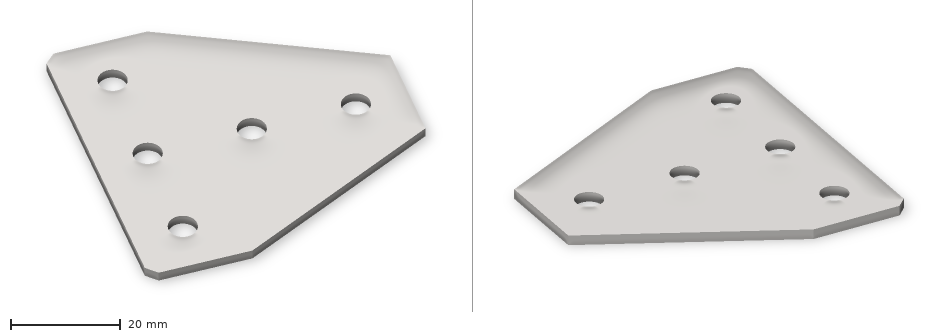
import cadquery as cq

pitch = 20.0
thickness = 2.0
hole_diameter = 5.5
corner_chamfer = 2.0

size = 3 * pitch
half_size = size / 2
half_arm = pitch / 2
shoulder_y = -half_size + pitch
bottom_row_y = -half_size + half_arm


def make_plate():
    """T-joint plate: straight crossbar, tapering to a narrow top edge."""
    right_side = [
        (half_size - corner_chamfer, -half_size),
        (half_size, -half_size + corner_chamfer),
        (half_size, shoulder_y),
        (half_arm, half_size),
    ]
    left_side = [(-x, y) for x, y in reversed(right_side)]
    outline = cq.Workplane("XY").polyline(right_side + left_side).close()
    return outline.extrude(thickness)


def make_holes():
    """Through holes along the crossbar and up the stem."""
    crossbar = [(column * pitch, bottom_row_y) for column in (-1, 0, 1)]
    stem = [(0, bottom_row_y + row * pitch) for row in (1, 2)]
    holes = cq.Workplane("XY").pushPoints(crossbar + stem).circle(hole_diameter / 2)
    return holes.extrude(thickness)


result = make_plate().cut(make_holes())